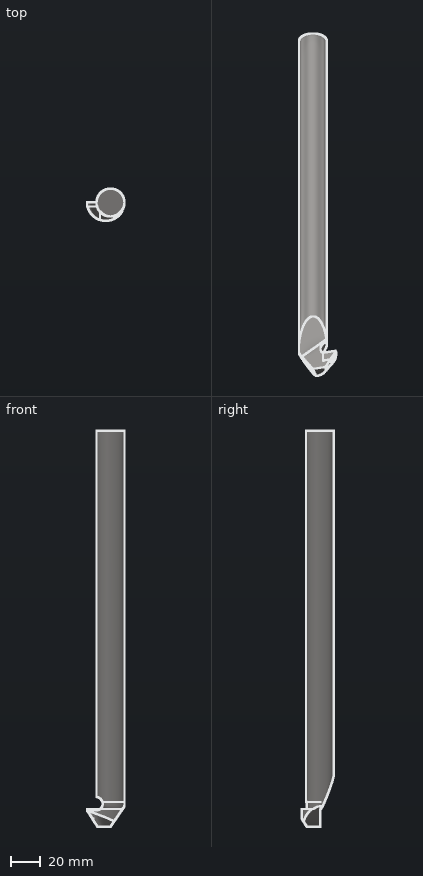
import cadquery as cq

LENGTH = 266.9
SHANK_DIAMETER = 19.0
SHANK_RADIUS = SHANK_DIAMETER / 2
MARGIN = 26.7

NECK_TOP = 16.8
NECK_SHIFT = 0.5

HEAD_TOP = 12.0
HEAD_DIAMETER = 25.4
HEAD_RADIUS = HEAD_DIAMETER / 2
HEAD_X = SHANK_RADIUS - HEAD_RADIUS
TIP_X = HEAD_X - HEAD_RADIUS
DEPTH = 22.0
HEAD_Y = HEAD_RADIUS + SHANK_RADIUS - DEPTH
CONE_X = 0.3
CONE_BASE_RADIUS = 9.0
CONE_SLOPE = 0.65
FLANK_START = 0.0
FLANK_TOP = 14.0

GULLET_RADIUS = 4.5
LEDGE_Z = 11.0
GULLET_END_X = -5.3
GULLET_X = GULLET_END_X - GULLET_RADIUS
GULLET_Z = LEDGE_Z + GULLET_RADIUS
RAKE_Y = HEAD_Y
RELIEF_Z = 15.7
RELIEF_RISE_X = -0.64
RELIEF_RISE_Y = 2.1

INSERT_THICKNESS = 3.0
INSERT_INNER_X = -7.2
INSERT_BOTTOM = 5.5
INSERT_LAND = 11.0
INSERT_BOTTOM_X = -12.3


def make_shank():
    shank = cq.Workplane("XY").workplane(offset=NECK_TOP).circle(SHANK_RADIUS).extrude(LENGTH - NECK_TOP)
    neck_height = NECK_TOP - INSERT_BOTTOM
    neck = cq.Workplane("XY").workplane(offset=INSERT_BOTTOM).circle(SHANK_RADIUS).extrude(neck_height)
    shifted = (
        cq.Workplane("XY").workplane(offset=INSERT_BOTTOM)
        .center(0, NECK_SHIFT).circle(SHANK_RADIUS).extrude(neck_height)
    )
    return shank.union(neck.intersect(shifted))


def make_head():
    """Upright round wall, undercut by an eccentric cone."""
    wall = cq.Workplane("XY").center(HEAD_X, HEAD_Y).circle(HEAD_RADIUS).extrude(HEAD_TOP)
    top_radius = CONE_BASE_RADIUS + CONE_SLOPE * HEAD_TOP
    cone = cq.Workplane(cq.Solid.makeCone(
        CONE_BASE_RADIUS, top_radius, HEAD_TOP, cq.Vector(CONE_X, HEAD_Y, 0)
    ))
    return wall.intersect(cone)


def flank_cutter():
    """Wedge that bevels the +X side of the head and neck."""
    run = SHANK_RADIUS - FLANK_START
    return (
        cq.Workplane("XZ", origin=(0, MARGIN, 0))
        .polyline([
            (FLANK_START - run, -FLANK_TOP),
            (SHANK_RADIUS + run, 2 * FLANK_TOP),
            (SHANK_RADIUS + run, -FLANK_TOP),
        ]).close().extrude(2 * MARGIN)
    )


def gullet_cutter():
    """Round chip gullet along Y, running out to a flat ledge toward -X."""
    bore = (
        cq.Workplane("XZ", origin=(0, MARGIN, 0)).center(GULLET_X, GULLET_Z)
        .circle(GULLET_RADIUS).extrude(2 * MARGIN)
    )
    ledge = (
        cq.Workplane("XY").box(MARGIN, 2 * MARGIN, GULLET_RADIUS, centered=(False, True, False))
        .translate((GULLET_X - MARGIN, 0, LEDGE_Z))
    )
    return bore.union(ledge)


def relief_cutter():
    """Space behind the cutting face and below the plane sloping in X and Y."""
    below_plane = (
        cq.Workplane(cq.Plane(
            origin=(0, 0, RELIEF_Z),
            xDir=(1, 0, RELIEF_RISE_X),
            normal=(RELIEF_RISE_X, RELIEF_RISE_Y, -1),
        )).rect(6 * MARGIN, 6 * MARGIN).extrude(3 * MARGIN)
    )
    behind_face = (
        cq.Workplane("XY").box(2 * MARGIN, MARGIN, 4 * MARGIN, centered=(True, False, True))
        .translate((0, RAKE_Y, 0))
    )
    return below_plane.intersect(behind_face)


def insert_prism(points):
    return cq.Workplane("XZ", origin=(0, RAKE_Y, 0)).polyline(points).close().extrude(INSERT_THICKNESS)


def make_insert():
    return insert_prism([
        (TIP_X, HEAD_TOP),
        (TIP_X, INSERT_LAND),
        (INSERT_BOTTOM_X, INSERT_BOTTOM),
        (INSERT_INNER_X, INSERT_BOTTOM),
        (INSERT_INNER_X, HEAD_TOP),
    ])


def insert_pocket():
    """Seat of the insert, open toward -X and upward to the head top."""
    return insert_prism([
        (TIP_X - MARGIN, HEAD_TOP),
        (TIP_X - MARGIN, INSERT_BOTTOM),
        (INSERT_INNER_X, INSERT_BOTTOM),
        (INSERT_INNER_X, HEAD_TOP),
    ])


holder = make_shank().union(make_head())
for cutter in (flank_cutter(), gullet_cutter(), relief_cutter(), insert_pocket()):
    holder = holder.cut(cutter)

insert = make_insert()

result = cq.Compound.makeCompound([holder.val(), insert.val()])